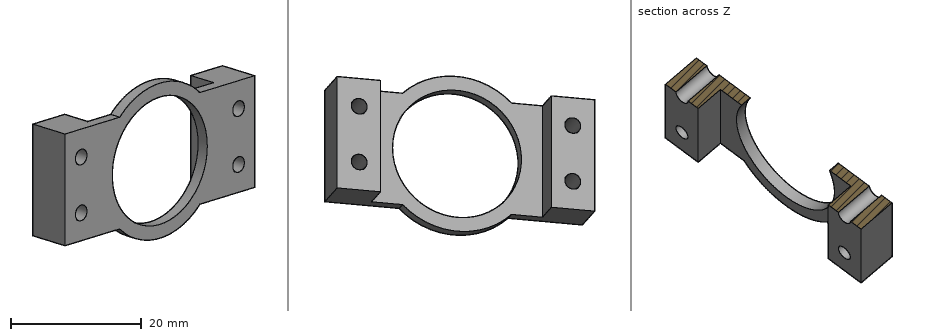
import cadquery as cq

LENGTH = 41.0
HEIGHT = 18.0
DEPTH = 7.0
PLATE_THICKNESS = 2.0
BLOCK_GAP = 27.2
RING_OUTER_DIAMETER = 25.0
BORE_DIAMETER = 20.5
SCREW_HOLE_DIAMETER = 2.5
SCREW_HOLE_SPACING_Y = 34.0
SCREW_HOLE_SPACING_Z = 9.0

BLOCK_LENGTH = (LENGTH - BLOCK_GAP) / 2
BLOCK_CENTER_Y = (LENGTH - BLOCK_LENGTH) / 2
PLATE_FRONT_X = DEPTH - PLATE_THICKNESS


def box_from(start_x, center_y, size_x, size_y):
    """Full-height box starting at start_x, centred on center_y and on Z = 0."""
    box = cq.Workplane("XY").box(size_x, size_y, HEIGHT, centered=(False, True, True))
    return box.translate((start_x, center_y, 0))


def cylinder_along_x(start_x, length, diameter, center_y=0, center_z=0):
    """Cylinder running in +X from start_x."""
    plane = cq.Workplane("YZ", origin=(start_x, center_y, center_z))
    return plane.circle(diameter / 2).extrude(length)


body = box_from(PLATE_FRONT_X, 0, PLATE_THICKNESS, LENGTH)
body = body.union(cylinder_along_x(PLATE_FRONT_X, PLATE_THICKNESS, RING_OUTER_DIAMETER))

for side in (-1, 1):
    body = body.union(box_from(0, side * BLOCK_CENTER_Y, DEPTH, BLOCK_LENGTH))

body = body.cut(cylinder_along_x(0, DEPTH, BORE_DIAMETER))

for side in (-1, 1):
    for level in (-1, 1):
        hole = cylinder_along_x(
            0,
            DEPTH,
            SCREW_HOLE_DIAMETER,
            side * SCREW_HOLE_SPACING_Y / 2,
            level * SCREW_HOLE_SPACING_Z / 2,
        )
        body = body.cut(hole)

result = body